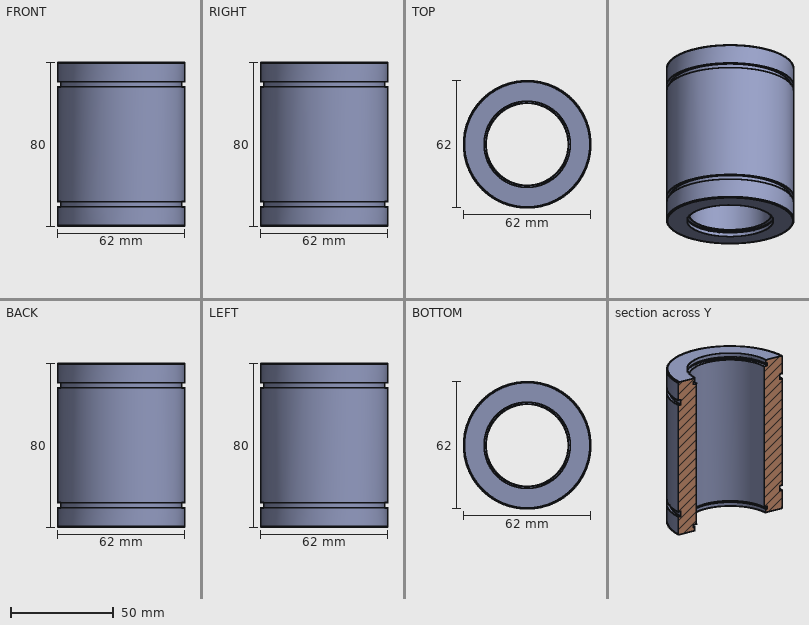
import cadquery as cq

length = 80.0
outer_diameter = 62.0
bore_diameter = 40.0
mouth_diameter = 42.0
mouth_depth = 2.0
seat_diameter = 44.0
seat_floor_depth = 3.2
groove_diameter = 59.0
groove_width = 2.5
groove_inset = 9.6
edge_chamfer = 0.5


def cylinder(diameter, height, bottom):
    """Solid cylinder on the Z axis, starting at height bottom."""
    return cq.Workplane("XY").workplane(offset=bottom).circle(diameter / 2).extrude(height)


def retaining_groove(bottom):
    """Ring of material to remove for one outer groove."""
    return cylinder(outer_diameter, groove_width, bottom).cut(
        cylinder(groove_diameter, groove_width, bottom)
    )


bottom_face = -length / 2
sleeve = cylinder(outer_diameter, length, bottom_face).faces("<Z or >Z").edges().chamfer(edge_chamfer)

sleeve = sleeve.cut(cylinder(bore_diameter, length, bottom_face))

seat_width = seat_floor_depth - mouth_depth
for mouth_bottom in (bottom_face, length / 2 - mouth_depth):
    sleeve = sleeve.cut(cylinder(mouth_diameter, mouth_depth, mouth_bottom))
for seat_bottom in (bottom_face + mouth_depth, length / 2 - seat_floor_depth):
    sleeve = sleeve.cut(cylinder(seat_diameter, seat_width, seat_bottom))

for groove_bottom in (bottom_face + groove_inset, length / 2 - groove_inset - groove_width):
    sleeve = sleeve.cut(retaining_groove(groove_bottom))

result = sleeve